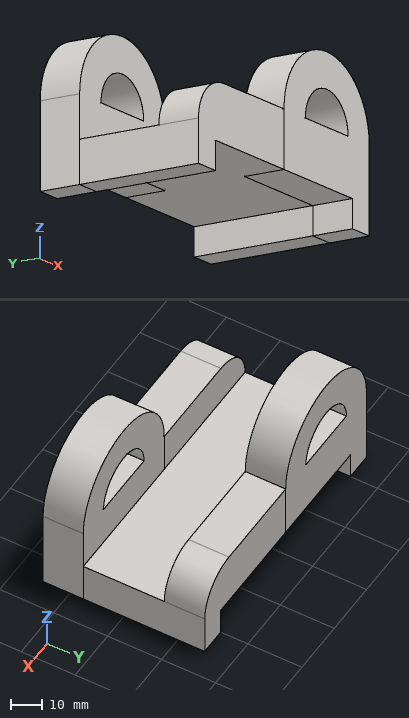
import cadquery as cq

length = 100.0
width = 60.0
wall_thickness = 15.0
wall_height = 30.0
floor_height = 15.0
foot_length = 10.0
foot_height = 10.0

lug_length = length / 2
arch_radius = lug_length / 2
arch_hole_radius = arch_radius / 2
wall_round_radius = wall_height - floor_height


def half_turn(body):
    """Turn a body by 180 degrees about the vertical axis through the centre of the part."""
    axis_start = (length / 2, width / 2, 0)
    axis_end = (length / 2, width / 2, 1)
    return body.rotate(axis_start, axis_end, 180)


def box(x_size, y_size, z_size, x=0.0, y=0.0, z=0.0):
    """Box with its lowest corner at (x, y, z)."""
    return cq.Workplane("XY").box(x_size, y_size, z_size, centered=False).translate((x, y, z))


def make_front_wall():
    """Low wall on the front left, with its outer upper corner rounded."""
    wall = box(lug_length, wall_thickness, wall_height)
    return wall.edges("<X and >Z").fillet(wall_round_radius)


def make_base():
    """Floor on two feet, with a rounded wall at two diagonally opposite corners."""
    floor = box(length, width - 2 * wall_thickness, floor_height, y=wall_thickness)
    wall = make_front_wall()
    base = floor.union(wall).union(half_turn(wall))
    underside_gap = box(length - 2 * foot_length, width, foot_height, x=foot_length)
    return base.cut(underside_gap)


def make_lug():
    """Arched lug at the front right: a half ring on a straight block with one outer foot."""
    return (
        cq.Workplane("XZ")
        .moveTo(length, 0)
        .lineTo(length, wall_height)
        .threePointArc((length - arch_radius, wall_height + arch_radius), (lug_length, wall_height))
        .lineTo(lug_length, foot_height)
        .lineTo(length - foot_length, foot_height)
        .lineTo(length - foot_length, 0)
        .close()
        .extrude(-wall_thickness)
        .cut(make_arch_hole())
    )


def make_arch_hole():
    """Half-round opening through the lug, with its flat side on the top of the block."""
    return (
        cq.Workplane("XZ")
        .moveTo(length - arch_radius + arch_hole_radius, wall_height)
        .threePointArc(
            (length - arch_radius, wall_height + arch_hole_radius),
            (length - arch_radius - arch_hole_radius, wall_height),
        )
        .close()
        .extrude(-wall_thickness)
    )


base = make_base()

lugs = []
for turned in (False, True):
    lug = make_lug()
    if turned:
        lug = half_turn(lug)
    lugs.append(lug.val())

result = cq.Compound.makeCompound([base.val(), *lugs])